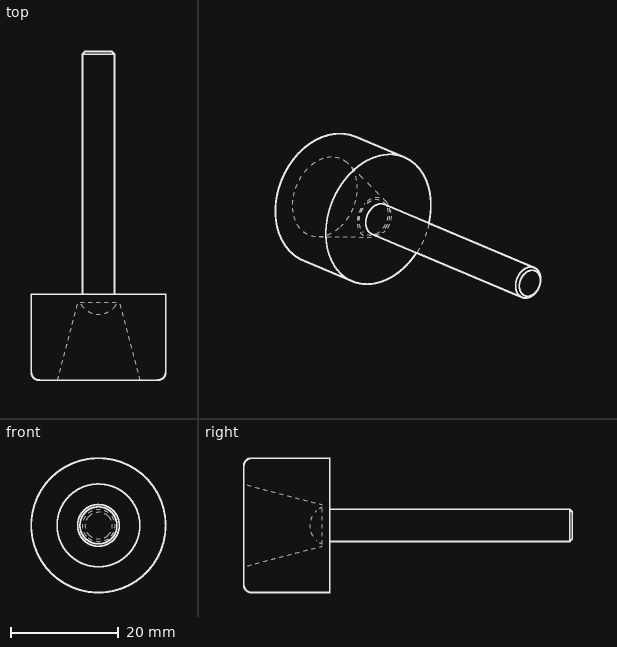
import cadquery as cq

head_diameter = 25.0
head_length = 16.0
head_edge_radius = 1.5

shaft_diameter = 6.0
overall_length = 61.0
shaft_tip_chamfer = 0.5

recess_floor_thickness = 1.5
recess_depth = head_length - recess_floor_thickness
recess_mouth_diameter = 15.38
recess_floor_diameter = 7.75

ball_diameter = 7.5


def cylinder_along_y(diameter, start, end):
    """Solid round bar between two Y positions."""
    plane = cq.Workplane("XZ", origin=(0, start, 0))
    return plane.circle(diameter / 2).extrude(start - end)


def make_head():
    """Cylinder with a rounded front edge."""
    head = cylinder_along_y(head_diameter, 0, head_length)
    return head.faces("<Y").edges().fillet(head_edge_radius)


def make_shaft():
    """Round bar from the back of the head to a chamfered tip."""
    shaft = cylinder_along_y(shaft_diameter, head_length, overall_length)
    return shaft.faces(">Y").edges().chamfer(shaft_tip_chamfer)


def make_recess():
    """Truncated cone that narrows from the front face to the recess floor."""
    half_profile = (
        cq.Workplane("XY")
        .lineTo(recess_mouth_diameter / 2, 0)
        .lineTo(recess_floor_diameter / 2, recess_depth)
        .lineTo(0, recess_depth)
        .close()
    )
    return half_profile.revolve(360, (0, 0, 0), (0, 1, 0))


def make_ball_cap():
    """The part of the ball that stands in front of the recess floor."""
    ball = cq.Workplane("XY").sphere(ball_diameter / 2).translate((0, head_length, 0))
    return ball.intersect(cylinder_along_y(head_diameter, 0, recess_depth))


result = make_head().cut(make_recess()).union(make_ball_cap()).union(make_shaft())